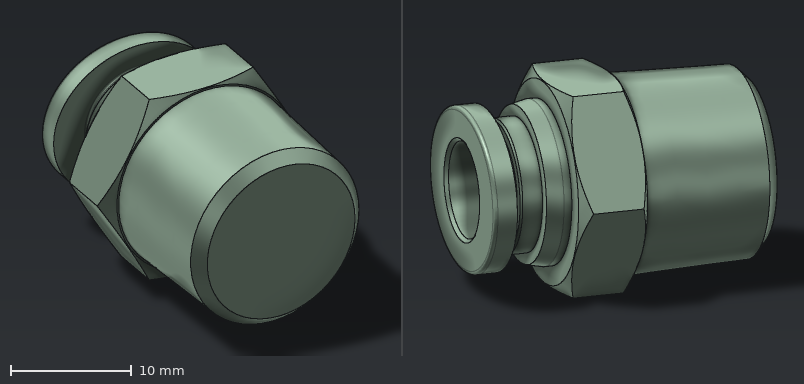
import cadquery as cq
import math

total_length = 25.2
flange_end = 2.05
collar_start = 3.15
sleeve_end = 5.07
nose_taper_end = 6.5
hex_start = 7.18
hex_end = 13.25

flange_width = 16.0
flange_height = 14.0
flange_fillet = 0.33
neck_diameter = 9.7
neck_fillet = 0.18
collar_diameter = 11.45
collar_chamfer = 0.18
bore_diameter = 8.2
bore_chamfer = 0.3

nose_diameter = flange_height
nose_tip_diameter = 13.4
across_flats = 17.46
across_corners = across_flats / math.cos(math.pi / 6)
hex_face_diameter = 17.35
hex_chamfer_angle = math.radians(30)
stem_start_diameter = 17.0
stem_end_diameter = 16.33
stem_chamfer = 1.0
bore_floor = hex_end


def cylinder(diameter, start, end):
    """Cylinder on the X axis between two positions."""
    return cq.Workplane("YZ", origin=(start, 0, 0)).circle(diameter / 2).extrude(end - start)


def revolve_about_x(points):
    """Solid of revolution from (x, radius) profile points."""
    return cq.Workplane("XY").polyline(points).close().revolve(360, (0, 0, 0), (1, 0, 0))


def make_release_sleeve():
    """Oval push flange, neck and collar with a through bore."""
    flange = cq.Workplane("YZ").ellipse(flange_width / 2, flange_height / 2).extrude(flange_end)
    flange = flange.faces("<X").edges().fillet(flange_fillet)
    neck = cylinder(neck_diameter, flange_end, collar_start)
    collar = cylinder(collar_diameter, collar_start, sleeve_end)
    collar = collar.faces("<X").edges().chamfer(collar_chamfer)
    sleeve = flange.union(neck).union(collar)

    flange_back = sleeve.faces(cq.selectors.BoxSelector(
        (flange_end - neck_fillet, -flange_width, -flange_height),
        (flange_end + neck_fillet, flange_width, flange_height),
    ))
    sleeve = flange_back.edges("%CIRCLE").fillet(neck_fillet)

    bore = cylinder(bore_diameter, 0, sleeve_end)
    mouth_radius = bore_diameter / 2 + bore_chamfer
    mouth = revolve_about_x([(0, 0), (0, mouth_radius), (mouth_radius, 0)])
    return sleeve.cut(bore).cut(mouth)


def make_hexagon():
    """Hexagon with corners on the Y axis and both ends chamfered."""
    prism = cq.Workplane("YZ", origin=(hex_start, 0, 0)).polygon(6, across_corners)
    prism = prism.extrude(hex_end - hex_start)
    face_radius = hex_face_diameter / 2
    corner_radius = across_corners / 2
    chamfer_depth = (corner_radius - face_radius) * math.tan(hex_chamfer_angle)
    envelope = revolve_about_x([
        (hex_start, 0),
        (hex_start, face_radius),
        (hex_start + chamfer_depth, corner_radius),
        (hex_end - chamfer_depth, corner_radius),
        (hex_end, face_radius),
        (hex_end, 0),
    ])
    return prism.intersect(envelope)


def make_body():
    """Tapered nose, hexagon and tapered stem with a blind bore."""
    nose = revolve_about_x([
        (sleeve_end, 0),
        (sleeve_end, nose_tip_diameter / 2),
        (nose_taper_end, nose_diameter / 2),
        (hex_start, nose_diameter / 2),
        (hex_start, 0),
    ])
    stem = revolve_about_x([
        (hex_end, 0),
        (hex_end, stem_start_diameter / 2),
        (total_length - stem_chamfer, stem_end_diameter / 2),
        (total_length, stem_end_diameter / 2 - stem_chamfer),
        (total_length, 0),
    ])
    bore = cylinder(bore_diameter, sleeve_end, bore_floor)
    return nose.union(make_hexagon()).union(stem).cut(bore)


release_sleeve = make_release_sleeve()
body = make_body()
result = cq.Compound.makeCompound([release_sleeve.val(), body.val()])